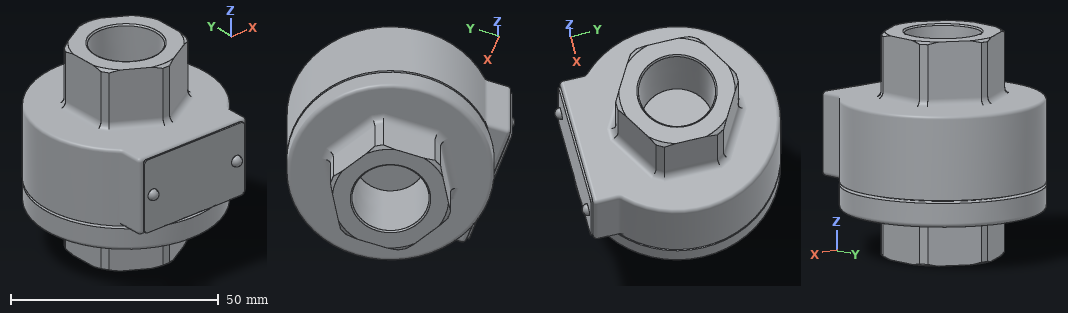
import cadquery as cq
import math

total_height = 55.0
flange_bottom = 11.5
flange_top = 17.5
body_bottom = 18.2
body_top = 39.0

outer_radius = 25.0
edge_fillet = 1.0
taper_angle = 15.0

lug_width = 34.0
lug_reach = outer_radius
junction_fillet = 1.3
plate_width = 31.55
plate_height = 19.9
plate_thickness = 0.5
plate_corner_radius = 1.0
rivet_radius = 1.5
rivet_spacing = 26.4
plate_center_z = 28.5

across_flats = 27.0
across_trimmed_corners = 30.0
hex_chamfer_diameter = 28.05
hex_chamfer_angle = 30.0
hex_root_fillet = 2.0

bore_mouth_diameter = 19.35
bore_diameter = 18.6
bore_taper = 1 / 16
bore_depth = 17.6

selection_margin = 0.3


def make_body():
    """Round body with a lug on the -Y side, rounded edges and a conical underside."""
    height = body_top - body_bottom
    base = cq.Workplane("XY").workplane(offset=body_bottom)
    lug = base.center(0, -lug_reach / 2).rect(lug_width, lug_reach).extrude(height)
    lug = lug.edges("|Z and <Y").fillet(edge_fillet)
    body = base.circle(outer_radius).extrude(height).union(lug)

    junction_y = -math.sqrt(outer_radius**2 - (lug_width / 2) ** 2)
    for side in (-1, 1):
        x = side * lug_width / 2
        corner = cq.selectors.BoxSelector(
            (x - selection_margin, junction_y - selection_margin, body_bottom),
            (x + selection_margin, junction_y + selection_margin, body_top),
        )
        body = body.edges("|Z").edges(corner).fillet(junction_fillet)
    body = body.faces("<Z or >Z").edges().fillet(edge_fillet)

    rim = base.circle(outer_radius).extrude(2 * edge_fillet)
    body = body.union(rim)

    taper_height = body_bottom - flange_top
    neck_radius = outer_radius - taper_height / math.tan(math.radians(taper_angle))
    cone = cq.Solid.makeCone(neck_radius, outer_radius, taper_height, cq.Vector(0, 0, flange_top))
    return body.union(cq.Workplane(cone))


def make_flange():
    """Round flange below the body, with a rounded lower rim."""
    return (
        cq.Workplane("XY")
        .workplane(offset=flange_bottom)
        .circle(outer_radius)
        .extrude(flange_top - flange_bottom)
        .faces("<Z")
        .edges()
        .fillet(edge_fillet)
    )


def hexagon(flats, turn):
    """Hexagonal prism over the whole height; turn is the angle of its first corner."""
    return (
        cq.Workplane("XY")
        .transformed(rotate=(0, 0, turn))
        .polygon(6, flats / math.cos(math.pi / 6))
        .extrude(total_height)
    )


def make_hex_bar():
    """Hexagon with trimmed corners and a 30 degree turned chamfer on both ends."""
    bar = hexagon(across_flats, 30).intersect(hexagon(across_trimmed_corners, 0))
    corner_radius = across_flats / 2 / math.cos(math.pi / 6)
    end_radius = hex_chamfer_diameter / 2
    chamfer_height = (corner_radius - end_radius) * math.tan(math.radians(hex_chamfer_angle))
    envelope = (
        cq.Workplane("XZ")
        .moveTo(0, 0)
        .lineTo(end_radius, 0)
        .lineTo(corner_radius, chamfer_height)
        .lineTo(corner_radius, total_height - chamfer_height)
        .lineTo(end_radius, total_height)
        .lineTo(0, total_height)
        .close()
        .revolve(360, (0, 0), (0, 1))
    )
    return bar.intersect(envelope)


def fillet_hex_root(part, level):
    """Round the inner corner between the hexagon and the flat face at the given level."""
    reach = across_trimmed_corners / 2 + selection_margin
    root = cq.selectors.BoxSelector(
        (-reach, -reach, level - selection_margin),
        (reach, reach, level + selection_margin),
    )
    return part.edges("%LINE").edges(root).fillet(hex_root_fillet)


def make_bore():
    """Tapered bore with a 45 degree mouth chamfer, entering from the bottom end."""
    mouth_radius = bore_mouth_diameter / 2
    start_radius = bore_diameter / 2
    chamfer = mouth_radius - start_radius
    floor_radius = start_radius - (bore_depth - chamfer) * bore_taper / 2
    return (
        cq.Workplane("XZ")
        .moveTo(0, 0)
        .lineTo(mouth_radius, 0)
        .lineTo(start_radius, chamfer)
        .lineTo(floor_radius, bore_depth)
        .lineTo(0, bore_depth)
        .close()
        .revolve(360, (0, 0), (0, 1))
    )


def make_plate():
    """Name plate with rounded corners, held by two round-headed rivets."""
    face = cq.Workplane("XZ", origin=(0, -lug_reach, plate_center_z))
    plate = face.rect(plate_width, plate_height).extrude(plate_thickness)
    plate = plate.edges("|Y").fillet(plate_corner_radius)
    for side in (-1, 1):
        center = (side * rivet_spacing / 2, -lug_reach - plate_thickness, plate_center_z)
        plate = plate.union(cq.Workplane("XY", origin=center).sphere(rivet_radius))
    return plate


part = make_body().union(make_flange()).union(make_hex_bar())
part = fillet_hex_root(part, body_top)
part = fillet_hex_root(part, flange_bottom)
part = part.union(make_plate())

outlet_bore = make_bore()
inlet_bore = outlet_bore.mirror("XY").translate((0, 0, total_height))
result = part.cut(outlet_bore).cut(inlet_bore)